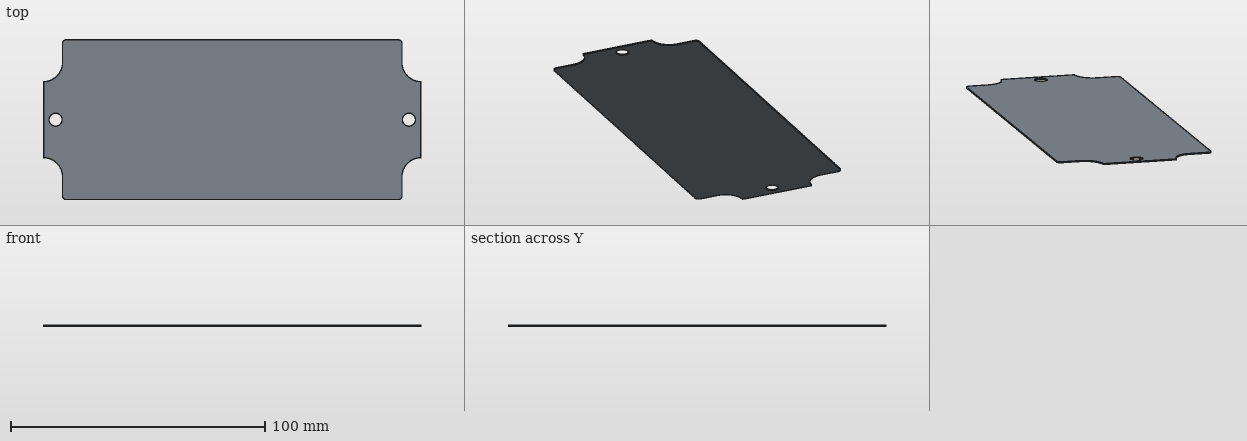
import cadquery as cq

length = 148.5
width = 63.0
thickness = 0.5

tab_reach = 7.4
tab_width = 30.0
blend_radius = tab_reach
body_length = length - 2 * tab_reach
corner_radius = 1.5

hole_diameter = 5.0
hole_spacing = 139.0


def make_body():
    """Central rectangle with rounded corners."""
    body = cq.Workplane("XY").box(body_length, width, thickness)
    return body.edges("|Z").fillet(corner_radius)


def make_tab(side):
    """End tab that widens into the body; side is -1 or 1 along X."""
    tip_x = side * length / 2
    root_x = side * body_length / 2
    tip_y = tab_width / 2
    root_y = tip_y + blend_radius
    arc_offset = blend_radius * 0.5 ** 0.5
    arc_x = tip_x - side * arc_offset
    arc_y = root_y - arc_offset
    return (
        cq.Workplane("XY")
        .workplane(offset=-thickness / 2)
        .moveTo(0, -root_y)
        .lineTo(root_x, -root_y)
        .threePointArc((arc_x, -arc_y), (tip_x, -tip_y))
        .lineTo(tip_x, tip_y)
        .threePointArc((arc_x, arc_y), (root_x, root_y))
        .lineTo(0, root_y)
        .close()
        .extrude(thickness)
    )


plate = make_body()
for side in (-1, 1):
    plate = plate.union(make_tab(side))
plate = plate.clean()

result = (
    plate.faces(">Z")
    .workplane(origin=(0, 0, 0))
    .pushPoints([(-hole_spacing / 2, 0), (hole_spacing / 2, 0)])
    .hole(hole_diameter)
)